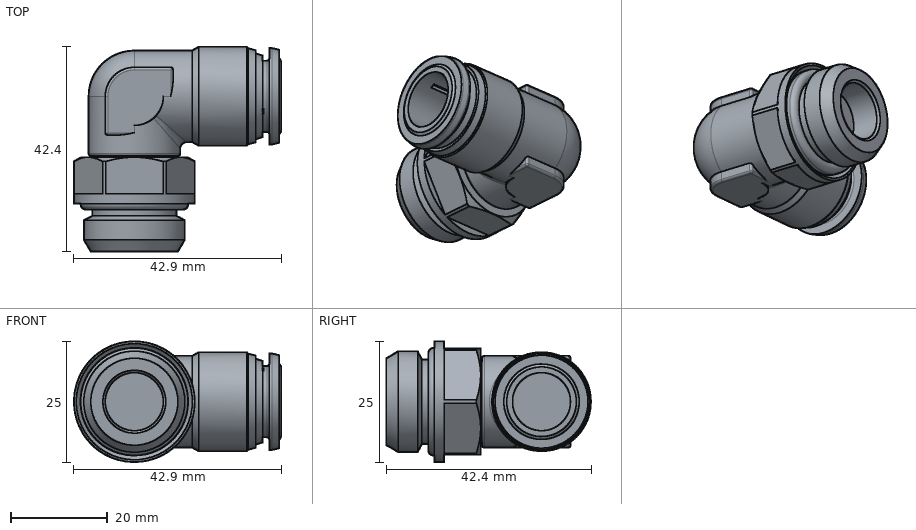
import cadquery as cq
import math


tube_radius = 9.5
leg_end_y = -12.3
leg_end_fillet = 0.5
inner_corner_fillet = 1.3

pad_radius = 6.0
pad_reach = 8.0
pad_edge_fillet = 0.5
pad_corner_fillet = 0.5

shoulder_start_x = 12.0
shoulder_end_x = 13.3
socket_radius = 10.25
socket_end_x = 23.25
cap_start_x = 23.5
cap_start_radius = 9.95
cap_step_x = 25.1
cap_step_outer_radius = 9.55
cap_step_inner_radius = 8.9
cap_end_x = 26.5
cap_end_radius = 8.45

sleeve_radius = 7.4
sleeve_bore_radius = 6.0
sleeve_inner_x = 20.0
sleeve_root_fillet = 0.5
flange_start_x = 27.9
flange_radius = 10.0
flange_taper_x = 28.4
flange_edge_x = 29.7
flange_edge_radius = 9.7
flange_end_x = 30.0
flange_end_radius = 9.6
lip_radius = 7.8
lip_end_radius = 7.2
sleeve_end_x = 30.4
slit_width = 1.0
slit_end_x = cap_end_x + 0.2
slit_angle = 25.0

swivel_neck_radius = 8.3
hex_top_y = -12.55
hex_sides = 6
hex_across_flats = 22.0
hex_bottom_y = -20.1
collar_radius = 12.5
hex_chamfer_height = 0.9
hex_chamfer_angle = 30.0
collar_bottom_y = -22.15
recess_rim_radius = 12.0
recess_depth = 0.95
recess_taper = 0.9
groove_radius = 8.75
groove_bottom_y = -24.7
thread_top_y = -25.6
thread_radius = 10.45
thread_taper_y = -29.65
stud_end_y = -32.1
stud_end_radius = 9.0
bore_radius = 6.0
bore_depth = 6.6
bore_chamfer = 0.5

seal_section_radius = 1.2
seal_centre_y = -22.25


def revolve_about_x(profile):
    return profile.close().revolve(360, (0, 0), (1, 0))


def revolve_about_y(profile):
    return profile.close().revolve(360, (0, 0), (0, 1))


def make_pads():
    """One prism through the elbow; its two ends are the flat pads, rounded along their outer edges."""
    prism = cq.Workplane("XY", origin=(0, 0, -tube_radius))
    height = 2 * tube_radius
    disc = prism.circle(pad_radius).extrude(height)
    arm_block = prism.rect(pad_reach, pad_radius, centered=False).extrude(height)
    leg_block = prism.rect(-pad_radius, -pad_reach, centered=False).extrude(height)
    pads = disc.union(arm_block).union(leg_block)
    for tip in [(pad_reach, pad_radius, 0), (-pad_radius, -pad_reach, 0)]:
        pads = pads.edges(cq.selectors.NearestToPointSelector(tip)).fillet(pad_corner_fillet)
    for end_z in (-tube_radius, tube_radius):
        outer_edge_middle = (-pad_radius, -pad_radius / 2, end_z)
        pads = pads.edges(cq.selectors.NearestToPointSelector(outer_edge_middle)).fillet(pad_edge_fillet)
    return pads


def make_elbow():
    """Two equal tubes meeting at a mitre, a ball on the outer corner and the two pads."""
    leg = cq.Workplane("XZ").circle(tube_radius).extrude(-leg_end_y)
    leg = leg.faces("<Y").edges().fillet(leg_end_fillet)
    arm = cq.Workplane("YZ").circle(tube_radius).extrude(shoulder_start_x)
    corner = cq.Workplane("XY").sphere(tube_radius)
    elbow = leg.union(arm).union(corner).union(make_pads())
    return elbow.edges("%ELLIPSE").fillet(inner_corner_fillet)


def make_socket():
    """Widened end of the arm with its stepped cap, hollowed to take the release sleeve."""
    outside = revolve_about_x(
        cq.Workplane("XY")
        .moveTo(shoulder_start_x, 0)
        .lineTo(shoulder_start_x, tube_radius)
        .lineTo(shoulder_end_x, socket_radius)
        .lineTo(socket_end_x, socket_radius)
        .lineTo(cap_start_x, cap_start_radius)
        .lineTo(cap_step_x, cap_step_outer_radius)
        .lineTo(cap_step_x, cap_step_inner_radius)
        .lineTo(cap_end_x, cap_end_radius)
        .lineTo(cap_end_x, 0)
    )
    hollow = cq.Workplane("YZ", origin=(sleeve_inner_x, 0, 0)).circle(sleeve_radius)
    return outside.cut(hollow.extrude(cap_end_x - sleeve_inner_x))


def make_hex():
    """Wrench hexagon with two flats facing up and down, its corners turned and chamfered."""
    height = hex_top_y - hex_bottom_y
    across_corners = hex_across_flats / math.cos(math.pi / hex_sides)
    prism = cq.Workplane("XZ", origin=(0, hex_top_y, 0)).polygon(hex_sides, across_corners).extrude(height)
    chamfer_width = hex_chamfer_height / math.tan(math.radians(hex_chamfer_angle))
    turned = revolve_about_y(
        cq.Workplane("XY")
        .moveTo(0, hex_top_y)
        .lineTo(collar_radius - chamfer_width, hex_top_y)
        .lineTo(collar_radius, hex_top_y - hex_chamfer_height)
        .lineTo(collar_radius, hex_bottom_y)
        .lineTo(0, hex_bottom_y)
    )
    return prism.intersect(turned)


def make_stud():
    """Collar, seal ring in its recess, groove and thread envelope, with a blind bore."""
    neck = cq.Workplane("XZ", origin=(0, leg_end_y, 0)).circle(swivel_neck_radius)
    neck = neck.extrude(leg_end_y - hex_top_y)

    recess_floor_y = collar_bottom_y + recess_depth
    seal_outer_radius = groove_radius + 2 * seal_section_radius
    seal_bottom = (groove_radius + seal_section_radius, seal_centre_y - seal_section_radius)
    turned = revolve_about_y(
        cq.Workplane("XY")
        .moveTo(0, hex_bottom_y)
        .lineTo(collar_radius, hex_bottom_y)
        .lineTo(collar_radius, collar_bottom_y)
        .lineTo(recess_rim_radius, collar_bottom_y)
        .lineTo(recess_rim_radius - recess_taper, recess_floor_y)
        .lineTo(seal_outer_radius, recess_floor_y)
        .lineTo(seal_outer_radius, seal_centre_y)
        .threePointArc(seal_bottom, (groove_radius, seal_centre_y))
        .lineTo(groove_radius, groove_bottom_y)
        .lineTo(thread_radius, thread_top_y)
        .lineTo(thread_radius, thread_taper_y)
        .lineTo(stud_end_radius, stud_end_y)
        .lineTo(0, stud_end_y)
    )
    bore = cq.Workplane("XZ", origin=(0, stud_end_y + bore_depth, 0)).circle(bore_radius).extrude(bore_depth)
    stud = turned.cut(bore)
    mouth = stud.faces("<Y").edges(cq.selectors.RadiusNthSelector(0))
    return neck.union(make_hex()).union(mouth.chamfer(bore_chamfer))


def make_release_sleeve():
    """Flanged collet sleeve with a single slit through its wall."""
    sleeve = revolve_about_x(
        cq.Workplane("XY")
        .moveTo(sleeve_inner_x, sleeve_bore_radius)
        .lineTo(sleeve_inner_x, sleeve_radius)
        .lineTo(flange_start_x - sleeve_root_fillet, sleeve_radius)
        .radiusArc((flange_start_x, sleeve_radius + sleeve_root_fillet), -sleeve_root_fillet)
        .lineTo(flange_start_x, flange_radius)
        .lineTo(flange_taper_x, flange_radius)
        .lineTo(flange_edge_x, flange_edge_radius)
        .lineTo(flange_end_x, flange_end_radius)
        .lineTo(flange_end_x, lip_radius)
        .lineTo(sleeve_end_x, lip_end_radius)
        .lineTo(sleeve_end_x, sleeve_bore_radius)
    )
    slit = (
        cq.Workplane("XY")
        .box(slit_end_x - sleeve_inner_x, slit_width, flange_radius, centered=(False, True, False))
        .translate((sleeve_inner_x, 0, 0))
        .rotate((0, 0, 0), (1, 0, 0), slit_angle)
    )
    return sleeve.cut(slit)


housing = make_elbow().union(make_socket()).union(make_stud())
release_sleeve = make_release_sleeve()

result = cq.Compound.makeCompound([housing.val(), release_sleeve.val()])